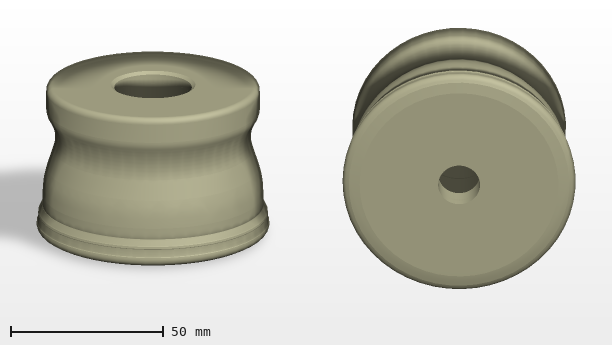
import cadquery as cq
import math

TOTAL_HEIGHT = 50.8
BASE_RADIUS = 38.1
BASE_HEIGHT = 9.7

HEAD_RADIUS = 34.925
HEAD_TOP_FILLET = 2.0
HEAD_BAND_HEIGHT = 6.2
NECK_RADIUS = 32.0
NECK_ARC_RADIUS = 12.7
NECK_Z = 32.8
SKIRT_RADIUS = 36.15
SKIRT_ARC_RADIUS = 29.7
CONE_ANGLE = 18.0

BORE_RADIUS = 12.7
BORE_CHAMFER_WIDTH = 1.15
BORE_CHAMFER_DEPTH = 0.9
LAND_STEP = 0.05
LAND_TOP_DEPTH = 3.9
LAND_BOTTOM_DEPTH = 15.3
RELIEF_RADIUS = 12.95

BASE_TOP_RADIUS = 36.4
SHOULDER_RADIUS = 37.35
SHOULDER_Z = 7.7
FLANK_TOP_Z = 7.45
FLANK_ANGLE = 8.0
GROOVE_TOP_Z = 6.75
GROOVE_BOTTOM_Z = 3.8
GROOVE_BEVEL_HEIGHT = 0.24
GROOVE_STEP = 0.13
GROOVE_DEPTH = 0.2
GROOVE_FLOOR_TOP_Z = 5.45
GROOVE_FLOOR_BOTTOM_Z = 5.0
HEEL_RADIUS = 2.25
HEEL_Z = 3.05
UNDERSIDE_ANGLE = 28.0
UNDERSIDE_BREAK_Z = 0.6
FOOT_RADIUS = 32.5
HOLE_RADIUS = 6.85
HOLE_CHAMFER = 0.45


def on_arc(center, radius, degrees):
    """Profile point (r, z) on an arc, at an angle above the outward direction."""
    angle = math.radians(degrees)
    return center[0] + radius * math.cos(angle), center[1] + radius * math.sin(angle)


def arc_through(profile, center, radius, start, end):
    """Continue a profile along an arc from its start angle to its end angle."""
    middle = on_arc(center, radius, (start + end) / 2)
    return profile.threePointArc(middle, on_arc(center, radius, end))


def revolve(profile):
    """Turn a closed (r, z) profile about the Z axis."""
    return profile.close().revolve(360, (0, 0, 0), (0, 1, 0))


def make_housing():
    band_top_z = TOTAL_HEIGHT - HEAD_TOP_FILLET
    band_bottom_z = band_top_z - HEAD_BAND_HEIGHT
    fillet_center = (HEAD_RADIUS - HEAD_TOP_FILLET, band_top_z)
    neck_center = (NECK_RADIUS + NECK_ARC_RADIUS, NECK_Z)

    drop = band_bottom_z - NECK_Z
    reach = neck_center[0] - HEAD_RADIUS
    head_arc_radius = (reach**2 + drop**2 - NECK_ARC_RADIUS**2) / (2 * (NECK_ARC_RADIUS - reach))
    head_center = (HEAD_RADIUS - head_arc_radius, band_bottom_z)
    tangent_angle = math.degrees(math.atan2(drop, reach + head_arc_radius))

    cone_top = on_arc(neck_center, NECK_ARC_RADIUS, 180 + CONE_ANGLE)
    skirt_center_r = SKIRT_RADIUS - SKIRT_ARC_RADIUS
    cone_bottom_r = on_arc((skirt_center_r, 0), SKIRT_ARC_RADIUS, CONE_ANGLE)[0]
    cone_slope = math.tan(math.radians(CONE_ANGLE))
    cone_bottom_z = cone_top[1] - (cone_bottom_r - cone_top[0]) / cone_slope
    skirt_center_z = cone_bottom_z - SKIRT_ARC_RADIUS * math.sin(math.radians(CONE_ANGLE))
    skirt_center = (skirt_center_r, skirt_center_z)

    land_radius = BORE_RADIUS - LAND_STEP
    land_top_z = TOTAL_HEIGHT - LAND_TOP_DEPTH
    land_bottom_z = TOTAL_HEIGHT - LAND_BOTTOM_DEPTH

    profile = cq.Workplane("XZ").moveTo(BORE_RADIUS + BORE_CHAMFER_WIDTH, TOTAL_HEIGHT)
    profile = profile.lineTo(fillet_center[0], TOTAL_HEIGHT)
    profile = arc_through(profile, fillet_center, HEAD_TOP_FILLET, 90, 0)
    profile = profile.lineTo(HEAD_RADIUS, band_bottom_z)
    profile = arc_through(profile, head_center, head_arc_radius, 0, -tangent_angle)
    profile = arc_through(profile, neck_center, NECK_ARC_RADIUS, 180 - tangent_angle, 180 + CONE_ANGLE)
    profile = profile.lineTo(cone_bottom_r, cone_bottom_z)
    profile = arc_through(profile, skirt_center, SKIRT_ARC_RADIUS, CONE_ANGLE, 0)
    profile = profile.lineTo(SKIRT_RADIUS, BASE_HEIGHT)

    profile = profile.lineTo(RELIEF_RADIUS, BASE_HEIGHT)
    profile = profile.lineTo(RELIEF_RADIUS, land_bottom_z)
    profile = profile.lineTo(land_radius, land_bottom_z)
    profile = profile.lineTo(land_radius, land_top_z)
    profile = profile.lineTo(BORE_RADIUS, land_top_z)
    profile = profile.lineTo(BORE_RADIUS, TOTAL_HEIGHT - BORE_CHAMFER_DEPTH)
    return revolve(profile)


def make_base():
    heel_center = (BASE_RADIUS - HEEL_RADIUS, HEEL_Z)
    heel_top = on_arc(heel_center, HEEL_RADIUS, FLANK_ANGLE)
    heel_end_angle = UNDERSIDE_ANGLE - 90
    heel_bottom = on_arc(heel_center, HEEL_RADIUS, heel_end_angle)
    break_run = (heel_bottom[1] - UNDERSIDE_BREAK_Z) / math.tan(math.radians(UNDERSIDE_ANGLE))

    def on_flank(z, depth=0.0):
        """Profile point on the drafted flank, moved inward by a depth."""
        draft = (z - heel_top[1]) * math.tan(math.radians(FLANK_ANGLE))
        return heel_top[0] - draft - depth, z

    def curve_middle(edge_z, floor_z):
        """Middle of a groove curve, which leaves the groove floor tangentially."""
        rise = (GROOVE_DEPTH - GROOVE_STEP) / 4
        return on_flank((edge_z + floor_z) / 2, GROOVE_DEPTH - rise)

    upper_curve_z = GROOVE_TOP_Z - GROOVE_BEVEL_HEIGHT
    lower_curve_z = GROOVE_BOTTOM_Z + GROOVE_BEVEL_HEIGHT
    floor_top = on_flank(GROOVE_FLOOR_TOP_Z, GROOVE_DEPTH)
    floor_bottom = on_flank(GROOVE_FLOOR_BOTTOM_Z, GROOVE_DEPTH)
    upper_middle = curve_middle(upper_curve_z, GROOVE_FLOOR_TOP_Z)
    lower_middle = curve_middle(lower_curve_z, GROOVE_FLOOR_BOTTOM_Z)

    profile = cq.Workplane("XZ").moveTo(HOLE_RADIUS + HOLE_CHAMFER, BASE_HEIGHT)
    profile = profile.lineTo(BASE_TOP_RADIUS, BASE_HEIGHT)
    profile = profile.lineTo(SHOULDER_RADIUS, SHOULDER_Z)
    profile = profile.lineTo(*on_flank(FLANK_TOP_Z))
    profile = profile.lineTo(*on_flank(GROOVE_TOP_Z))
    profile = profile.lineTo(*on_flank(upper_curve_z, GROOVE_STEP))
    profile = profile.threePointArc(upper_middle, floor_top)
    profile = profile.lineTo(*floor_bottom)
    profile = profile.threePointArc(lower_middle, on_flank(lower_curve_z, GROOVE_STEP))
    profile = profile.lineTo(*on_flank(GROOVE_BOTTOM_Z))
    profile = profile.lineTo(*heel_top)
    profile = arc_through(profile, heel_center, HEEL_RADIUS, FLANK_ANGLE, heel_end_angle)
    profile = profile.lineTo(heel_bottom[0] - break_run, UNDERSIDE_BREAK_Z)
    profile = profile.lineTo(FOOT_RADIUS, 0)
    profile = profile.lineTo(HOLE_RADIUS, 0)
    profile = profile.lineTo(HOLE_RADIUS, BASE_HEIGHT - HOLE_CHAMFER)
    return revolve(profile)


housing = make_housing()
base = make_base()
result = cq.Compound.makeCompound([housing.val(), base.val()])